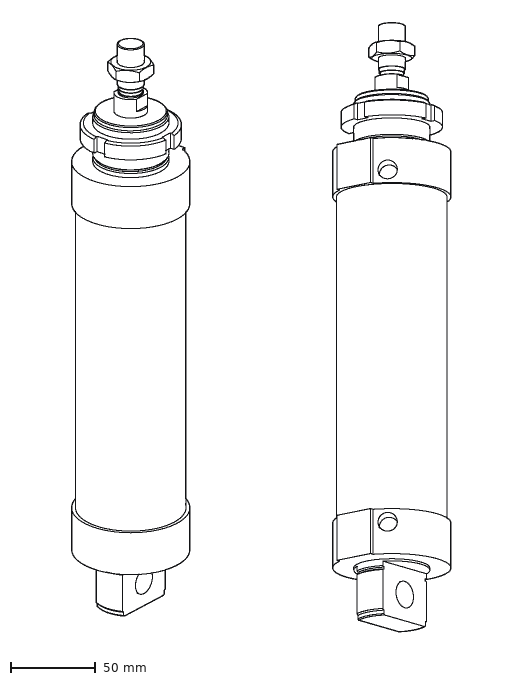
import cadquery as cq
import math


tube_diameter = 65.4
cap_diameter = 70.0
cap_length = 27.4
rear_cap_bottom = 17.8
front_cap_top = 271.2
pad_width = 26.0

neck_diameter = 45.0
end_diameter = 43.38
groove_diameter = 42.8
front_neck_length = 33.0
end_land = 2.8
end_bevel = 0.9
end_chamfer = 0.7
groove_offset = 2.7
groove_land = 1.0
groove_bevel = 0.7

tongue_thickness = 20.0
pivot_hole_diameter = 16.0
tongue_bottom = -16.0
collar_height = 1.3

port_diameter = 11.4
port_depth = 12.0
port_inset = 8.0
port_angle = 36.0

rod_diameter = 20.0
rod_exposed_length = 12.0
thread_diameter = 16.0
thread_length = 26.6
relief_diameter = 14.95
relief_groove_diameter = 13.9
relief_land = 2.4
relief_groove = 2.2
relief_length = 5.4
tip_chamfer_width = 0.81
tip_chamfer_height = 0.4
wrench_width = 17.0
wrench_length = 8.0

hex_sides = 6
rod_nut_width = 24.0
rod_nut_height = 8.0
rod_nut_top_offset = 11.9
rod_nut_bevel_angle = 30.0
rod_nut_face_diameter = 23.6

ring_nut_diameter = 60.0
ring_nut_height = 10.0
ring_nut_top_offset = 7.9
ring_nut_bevel_width = 2.0
ring_nut_bevel_height = 1.0
ring_nut_slot_count = 4
ring_nut_slot_width = 8.0
ring_nut_slot_depth = 3.2

collar_bottom = rear_cap_bottom - collar_height
rear_cap_top = rear_cap_bottom + cap_length
front_cap_bottom = front_cap_top - cap_length
neck_top = front_cap_top + front_neck_length
shoulder_z = neck_top + rod_exposed_length
thread_start = shoulder_z + relief_length
rod_tip = thread_start + thread_length


def revolve(profile):
    """Turn (radius, z) points about the Z axis, closed along the axis."""
    points = [(0, profile[0][1]), *profile, (0, profile[-1][1])]
    return cq.Workplane("XZ").polyline(points).close().revolve(360, (0, 0), (0, 1))


def cylinder(diameter, bottom, top):
    return cq.Workplane("XY").workplane(offset=bottom).circle(diameter / 2).extrude(top - bottom)


def box(width, depth, bottom, top):
    height = top - bottom
    return cq.Workplane("XY").workplane(offset=bottom).rect(width, depth).extrude(height)


def neck(base, tip):
    """Threaded neck from its base to its free end, with an undercut near the base."""
    away = math.copysign(1, tip - base)
    groove_start = base + away * groove_offset
    groove_floor_start = groove_start + away * groove_bevel
    groove_floor_end = groove_floor_start + away * groove_land
    groove_end = groove_floor_end + away * groove_bevel
    land_start = tip - away * end_land
    return revolve([
        (neck_diameter / 2, base),
        (neck_diameter / 2, groove_start),
        (groove_diameter / 2, groove_floor_start),
        (groove_diameter / 2, groove_floor_end),
        (neck_diameter / 2, groove_end),
        (neck_diameter / 2, land_start - away * end_bevel),
        (end_diameter / 2, land_start),
        (end_diameter / 2, tip - away * end_chamfer),
        (end_diameter / 2 - end_chamfer, tip),
    ])


def cap(bottom):
    """End cap with a flat pad flush with its +Y side."""
    top = bottom + cap_length
    radius = cap_diameter / 2
    pad = box(pad_width, radius, bottom, top).translate((0, radius / 2, 0))
    return cylinder(cap_diameter, bottom, top).union(pad)


def port(z):
    """Blind radial hole on the -X, +Y side of a cap."""
    angle = math.radians(port_angle)
    outward = cq.Vector(-math.sin(angle), math.cos(angle), 0)
    floor = outward * (cap_diameter / 2 - port_depth) + cq.Vector(0, 0, z)
    hole = cq.Solid.makeCylinder(port_diameter / 2, 2 * port_depth, floor, outward)
    return cq.Workplane(obj=hole)


def make_housing():
    tongue = neck(collar_bottom, tongue_bottom).intersect(
        box(tongue_thickness, neck_diameter, tongue_bottom, collar_bottom)
    )
    pivot_hole = (
        cq.Workplane("YZ").circle(pivot_hole_diameter / 2).extrude(tongue_thickness, both=True)
    )
    collar = cylinder(neck_diameter, collar_bottom, rear_cap_bottom)
    body = cylinder(tube_diameter, rear_cap_top, front_cap_bottom)
    body = body.union(cap(rear_cap_bottom)).union(cap(front_cap_bottom))
    body = body.union(neck(front_cap_top, neck_top)).union(collar)
    body = body.union(tongue.cut(pivot_hole))
    body = body.cut(port(rear_cap_top - port_inset)).cut(port(front_cap_bottom + port_inset))
    return body.cut(cylinder(rod_diameter, front_cap_top, neck_top))


def make_rod():
    groove_bottom = thread_start - relief_land - relief_groove
    groove_top = thread_start - relief_land
    rod = revolve([
        (rod_diameter / 2, front_cap_top),
        (rod_diameter / 2, shoulder_z),
        (relief_diameter / 2, shoulder_z),
        (relief_diameter / 2, groove_bottom),
        (relief_groove_diameter / 2, groove_bottom),
        (relief_groove_diameter / 2, groove_top),
        (relief_diameter / 2, groove_top),
        (relief_diameter / 2, thread_start),
        (thread_diameter / 2, thread_start),
        (thread_diameter / 2, rod_tip - tip_chamfer_height),
        (thread_diameter / 2 - tip_chamfer_width, rod_tip),
    ])
    flats_bottom = shoulder_z - wrench_length
    around = box(2 * rod_diameter, 2 * rod_diameter, flats_bottom, shoulder_z)
    between = box(wrench_width, 2 * rod_diameter, flats_bottom, shoulder_z)
    return rod.cut(around.cut(between))


def make_rod_nut():
    """Hexagon nut with flats facing -X and +X and bevelled corners."""
    top = rod_tip - rod_nut_top_offset
    bottom = top - rod_nut_height
    corner_radius = rod_nut_width / math.sqrt(3)
    face_radius = rod_nut_face_diameter / 2
    bevel = (corner_radius - face_radius) * math.tan(math.radians(rod_nut_bevel_angle))
    hexagon = (
        cq.Workplane("XY").workplane(offset=bottom)
        .polygon(hex_sides, 2 * corner_radius).extrude(rod_nut_height)
        .rotate((0, 0, 0), (0, 0, 1), 180 / hex_sides)
    )
    bevelled = revolve([
        (face_radius, bottom),
        (corner_radius, bottom + bevel),
        (corner_radius, top - bevel),
        (face_radius, top),
    ])
    return hexagon.intersect(bevelled).cut(cylinder(thread_diameter, bottom, top))


def make_ring_nut():
    top = neck_top - ring_nut_top_offset
    bottom = top - ring_nut_height
    radius = ring_nut_diameter / 2
    nut = revolve([
        (radius, bottom),
        (radius, top - ring_nut_bevel_height),
        (radius - ring_nut_bevel_width, top),
    ])
    slot = box(2 * ring_nut_slot_depth, ring_nut_slot_width, bottom, top).translate((radius, 0, 0))
    for i in range(ring_nut_slot_count):
        nut = nut.cut(slot.rotate((0, 0, 0), (0, 0, 1), i * 360 / ring_nut_slot_count))
    return nut.cut(cylinder(neck_diameter, bottom, top))


housing = make_housing()
rod = make_rod()
rod_nut = make_rod_nut()
ring_nut = make_ring_nut()

result = cq.Compound.makeCompound([housing.val(), rod.val(), rod_nut.val(), ring_nut.val()])